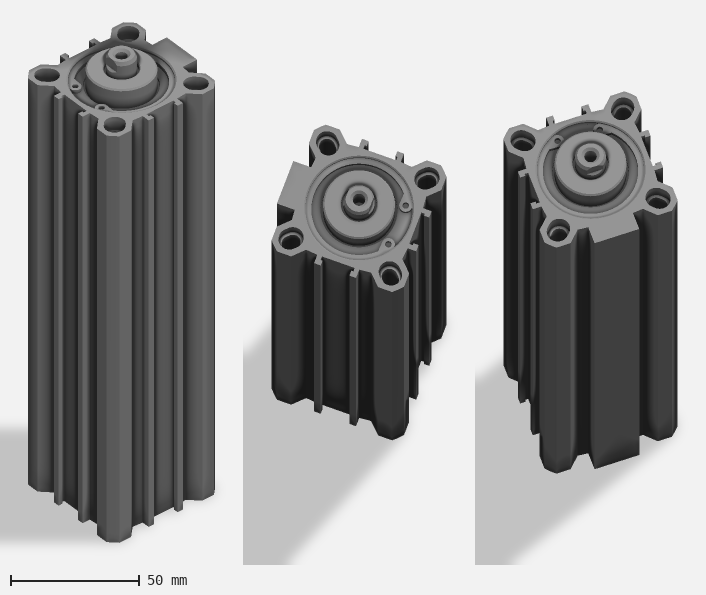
import cadquery as cq
import math

TOTAL_HEIGHT = 212.0
HOUSING_HEIGHT = 199.5
BOSS_TOP = 205.0

HOUSING_WIDTH = 55.0
HOUSING_DEPTH = 58.0
WALL_HALF = 23.3
WALL_ROOT = 23.0
LOBE_INNER = 18.0
LOBE_SETBACK = 3.5
PORT_WIDTH = 18.5

RAIL_OUTER_SIDE = 8.7
RAIL_STEM = 2.0
RAIL_HOOK = 2.8
RAIL_TIP = 27.0
HOOK_THICKNESS = 2.1

MOUNT_OFFSET = 20.5
MOUNT_ELONGATION = 1.5
MOUNT_WIDTH = 6.1
MOUNT_BORE_WIDTH = 8.5
MOUNT_BORE_DEPTH = 6.4

MOUTH_DIAMETER = 42.8
BORE_DIAMETER = 41.8
GROOVE_DIAMETER = 44.7
RING_DEPTH = 1.3
RING_THICKNESS = 1.7
COVER_THICKNESS = 12.7

RING_INNER_DIAMETER = 37.0
LUG_CENTER_RADIUS = 18.2
LUG_RADIUS = 2.5
LUG_HOLE_DIAMETER = 2.5
LUG_ANGLE = 28.0
RING_TURN = -3.0
LUG_ROOT_REACH = 13.8

BOSS_DIAMETER = 28.0
BOSS_CHAMFER = 0.6
RELIEF_DIAMETER = 29.9
RELIEF_DEPTH = 1.0
WIPER_DIAMETER = 14.0
WIPER_MOUTH_DIAMETER = 14.8
WIPER_DEPTH = 2.1

ROD_DIAMETER = 12.0
ROD_CHAMFER_HEIGHT = 1.5
ROD_CHAMFER_WIDTH = 0.8
FLAT_SPACING = 10.2
FLAT_BOTTOM = 207.3
TAP_DIAMETER = 4.9
TAP_MOUTH_DIAMETER = 7.0
TAP_DEPTH = 12.7

HALF_WIDTH = HOUSING_WIDTH / 2
PORT_REACH = HOUSING_DEPTH - HALF_WIDTH
RING_TOP = HOUSING_HEIGHT - RING_DEPTH
COVER_TOP = RING_TOP - RING_THICKNESS
BORE_FLOOR = COVER_TOP - COVER_THICKNESS


def cylinder(diameter, bottom, top):
    """Upright cylinder on the Z axis between two heights."""
    return cq.Workplane("XY").workplane(offset=bottom).circle(diameter / 2).extrude(top - bottom)


def cone(bottom_diameter, top_diameter, bottom, top):
    """Upright cone frustum on the Z axis between two heights."""
    base = cq.Vector(0, 0, bottom)
    solid = cq.Solid.makeCone(bottom_diameter / 2, top_diameter / 2, top - bottom, pnt=base)
    return cq.Workplane(obj=solid)


def quarter_turns(point, count):
    """A point turned about the axis by a number of quarter turns."""
    x, y = point
    for _ in range(count):
        x, y = -y, x
    return x, y


def make_profile():
    """Housing outline with four corner lobes, each with an outer arc centred on the axis."""
    lobe_outer = HALF_WIDTH - LOBE_SETBACK
    lobe_root = LOBE_INNER - (HALF_WIDTH - WALL_ROOT)
    arc_middle = math.hypot(HALF_WIDTH, lobe_outer) / math.sqrt(2)
    wall_start = (WALL_HALF, RAIL_OUTER_SIDE)
    before_arc = [wall_start, (WALL_ROOT, lobe_root), (HALF_WIDTH, LOBE_INNER), (HALF_WIDTH, lobe_outer)]
    arc = [(arc_middle, arc_middle), (lobe_outer, HALF_WIDTH)]
    after_arc = [(y, x) for x, y in reversed(before_arc[:-1])]

    profile = cq.Workplane("XY").moveTo(WALL_HALF, -RAIL_OUTER_SIDE)
    for quarter in range(4):
        for point in before_arc:
            profile = profile.lineTo(*quarter_turns(point, quarter))
        profile = profile.threePointArc(*[quarter_turns(point, quarter) for point in arc])
        for point in after_arc:
            profile = profile.lineTo(*quarter_turns(point, quarter))
    return profile.close()


def make_rail():
    """Hooked rail on the -Y wall, at +X, with its hook pointing towards the wall's middle."""
    stem_inner = RAIL_OUTER_SIDE - RAIL_STEM
    hook_inner = RAIL_OUTER_SIDE - RAIL_HOOK
    hook_root = RAIL_TIP - HOOK_THICKNESS
    points = [
        (RAIL_OUTER_SIDE, -WALL_HALF),
        (RAIL_OUTER_SIDE, -RAIL_TIP),
        (hook_inner, -RAIL_TIP),
        (hook_inner, -hook_root),
        (stem_inner, -hook_root),
        (stem_inner, -WALL_HALF),
    ]
    return cq.Workplane("XY").polyline(points).close().extrude(HOUSING_HEIGHT)


def mount_slots(width, height):
    """Four upright slots in the corners, each stretched along its diagonal."""
    slots = cq.Workplane("XY").polarArray(MOUNT_OFFSET * math.sqrt(2), 45, 360, 4)
    return slots.slot2D(width + MOUNT_ELONGATION, width).extrude(height)


def make_housing():
    body = make_profile().extrude(HOUSING_HEIGHT)

    port = cq.Workplane("XY").box(PORT_WIDTH, PORT_REACH, HOUSING_HEIGHT, centered=(True, False, False))
    body = body.union(port)

    rail = make_rail()
    rail_pair = rail.union(rail.mirror("YZ"))
    for turn in (-90, 0, 90):
        body = body.union(rail_pair.rotate((0, 0, 0), (0, 0, 1), turn))

    counterbores = mount_slots(MOUNT_BORE_WIDTH, MOUNT_BORE_DEPTH)
    body = body.cut(mount_slots(MOUNT_WIDTH, HOUSING_HEIGHT))
    body = body.cut(counterbores.translate((0, 0, HOUSING_HEIGHT - MOUNT_BORE_DEPTH)))

    mouth_depth = (MOUTH_DIAMETER - BORE_DIAMETER) / 2
    body = body.cut(cylinder(BORE_DIAMETER, BORE_FLOOR, HOUSING_HEIGHT))
    body = body.cut(cone(BORE_DIAMETER, MOUTH_DIAMETER, HOUSING_HEIGHT - mouth_depth, HOUSING_HEIGHT))
    return body.cut(cylinder(GROOVE_DIAMETER, COVER_TOP, RING_TOP))


def make_ring():
    ring_blank = cylinder(GROOVE_DIAMETER, COVER_TOP, RING_TOP)
    lug_x = LUG_CENTER_RADIUS * math.sin(math.radians(LUG_ANGLE))
    lug_y = -LUG_CENTER_RADIUS * math.cos(math.radians(LUG_ANGLE))
    plane = cq.Workplane("XY").workplane(offset=COVER_TOP)

    gap = plane.center(0, -GROOVE_DIAMETER / 2).rect(2 * lug_x, GROOVE_DIAMETER).extrude(RING_THICKNESS)
    ring = ring_blank.cut(cylinder(RING_INNER_DIAMETER, COVER_TOP, RING_TOP)).cut(gap)

    for side in (-1, 1):
        root_length = LUG_ROOT_REACH - lug_x
        root_x = side * (lug_x + root_length / 2)
        lug = plane.center(side * lug_x, lug_y).circle(LUG_RADIUS).extrude(RING_THICKNESS)
        root = plane.center(root_x, lug_y).rect(root_length, 2 * LUG_RADIUS).extrude(RING_THICKNESS)
        hole = plane.center(side * lug_x, lug_y).circle(LUG_HOLE_DIAMETER / 2).extrude(RING_THICKNESS)
        ring = ring.union(lug.union(root).intersect(ring_blank)).cut(hole)
    return ring.rotate((0, 0, 0), (0, 0, 1), RING_TURN)


def make_cover():
    flange = cylinder(BORE_DIAMETER, BORE_FLOOR, COVER_TOP)
    relief = cylinder(RELIEF_DIAMETER, COVER_TOP - RELIEF_DEPTH, COVER_TOP)
    boss = cylinder(BOSS_DIAMETER, BORE_FLOOR, BOSS_TOP).faces(">Z").chamfer(BOSS_CHAMFER)
    cover = flange.cut(relief).union(boss)
    cover = cover.cut(cylinder(ROD_DIAMETER, BORE_FLOOR, BOSS_TOP))

    mouth_depth = (WIPER_MOUTH_DIAMETER - WIPER_DIAMETER) / 2
    cover = cover.cut(cylinder(WIPER_DIAMETER, BOSS_TOP - WIPER_DEPTH, BOSS_TOP))
    return cover.cut(cone(WIPER_DIAMETER, WIPER_MOUTH_DIAMETER, BOSS_TOP - mouth_depth, BOSS_TOP))


def make_rod():
    rod = cylinder(ROD_DIAMETER, BORE_FLOOR, TOTAL_HEIGHT)
    rod = rod.faces(">Z").edges().chamfer(ROD_CHAMFER_HEIGHT, ROD_CHAMFER_WIDTH)

    flat = FLAT_SPACING / 2
    runout = ROD_DIAMETER / 2 - flat
    flat_profile = [
        (flat, TOTAL_HEIGHT),
        (flat, FLAT_BOTTOM),
        (flat + runout, FLAT_BOTTOM - runout),
        (flat + runout, TOTAL_HEIGHT),
    ]
    cutter = cq.Workplane("YZ").polyline(flat_profile).close().extrude(ROD_DIAMETER / 2, both=True)
    rod = rod.cut(cutter).cut(cutter.mirror("XZ"))

    countersink_depth = (TAP_MOUTH_DIAMETER - TAP_DIAMETER) / 2
    tap_bottom = TOTAL_HEIGHT - TAP_DEPTH
    rod = rod.cut(cylinder(TAP_DIAMETER, tap_bottom, TOTAL_HEIGHT))
    return rod.cut(cone(TAP_DIAMETER, TAP_MOUTH_DIAMETER, TOTAL_HEIGHT - countersink_depth, TOTAL_HEIGHT))


housing = make_housing()
ring = make_ring()
cover = make_cover()
rod = make_rod()

result = cq.Compound.makeCompound([housing.val(), ring.val(), cover.val(), rod.val()])